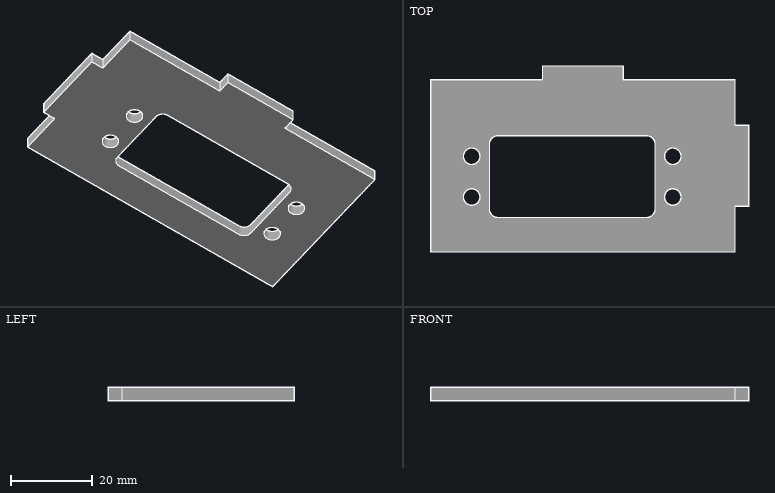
import cadquery as cq

thickness = 3.4
tab_depth = thickness
plate_length = 78.4 - tab_depth
plate_width = 45.9 - tab_depth

tab_width = 20.0

window_center = (34.9, 18.6)
window_length = 40.8
window_width = 20.1
window_corner_radius = 2.0
hole_diameter = 4.0
hole_spacing_x = 49.55
hole_spacing_y = 10.0


def block(length, width, x, y):
    """Full-thickness block with its lower left corner at (x, y)."""
    return cq.Workplane("XY").box(length, width, thickness, centered=False).translate((x, y, 0))


def window():
    """Rectangular through opening with rounded corners."""
    return (
        cq.Workplane("XY")
        .center(*window_center)
        .rect(window_length, window_width)
        .extrude(thickness)
        .edges("|Z")
        .fillet(window_corner_radius)
    )


def mounting_holes():
    """Two through holes on each side of the window."""
    return (
        cq.Workplane("XY")
        .center(*window_center)
        .rarray(hole_spacing_x, hole_spacing_y, 2, 2)
        .circle(hole_diameter / 2)
        .extrude(thickness)
    )


plate = block(plate_length, plate_width, 0, 0)
back_tab = block(tab_width, tab_depth, (plate_length - tab_width) / 2, plate_width)
right_tab = block(tab_depth, tab_width, plate_length, (plate_width - tab_width) / 2)

result = plate.union(back_tab).union(right_tab).cut(window()).cut(mounting_holes())